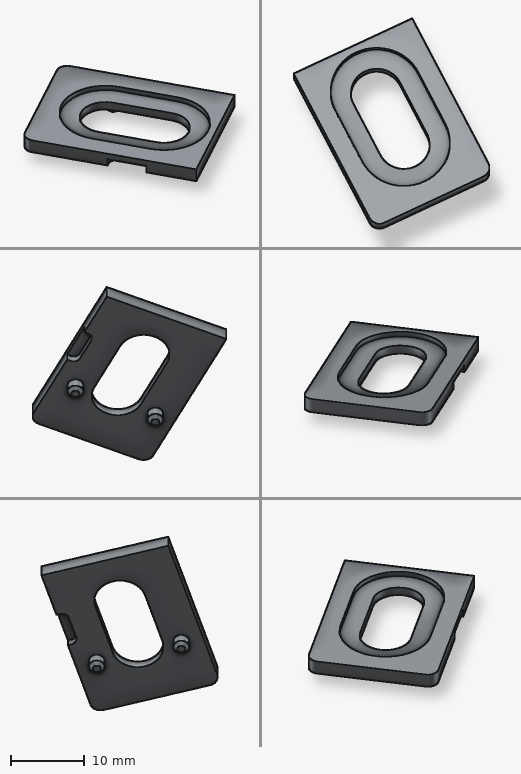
import cadquery as cq

plate_length = 24.8
plate_width = 18.0
plate_thickness = 2.0
corner_radius = 1.5

window_center_x = 13.35
window_length = 15.33
window_width = 7.05
ledge_width = 2.75
recess_depth = 0.75

pin_x = 8.48
pin_spacing = 12.0
pin_diameter = 2.1
pin_length = 1.79
pin_chamfer = 0.5

notch_center_x = 14.93
notch_width = 5.5
notch_depth = 1.5
notch_height = 1.05
notch_corner_radius = 1.0


def make_plate():
    plate = cq.Workplane("XY").box(
        plate_length, plate_width, plate_thickness, centered=(False, True, False)
    )
    return plate.edges("|Z and <X").fillet(corner_radius)


def make_window_cutter(margin, depth):
    """Obround cutter sunk from the top face, wider than the window by the margin all round."""
    return (
        cq.Workplane("XY", origin=(window_center_x, 0, plate_thickness))
        .slot2D(window_length + 2 * margin, window_width + 2 * margin)
        .extrude(-depth)
    )


def make_pins():
    return (
        cq.Workplane("XY")
        .pushPoints([(pin_x, side * pin_spacing / 2) for side in (-1, 1)])
        .circle(pin_diameter / 2)
        .extrude(-pin_length)
        .faces("<Z")
        .chamfer(pin_chamfer)
    )


def make_notch_cutter():
    cutter = cq.Workplane("XY", origin=(notch_center_x, -plate_width / 2, 0)).box(
        notch_width, notch_depth, notch_height, centered=(True, False, False)
    )
    return cutter.edges("|Z and >Y").fillet(notch_corner_radius)


result = (
    make_plate()
    .cut(make_window_cutter(0, plate_thickness))
    .cut(make_window_cutter(ledge_width, recess_depth))
    .cut(make_notch_cutter())
    .union(make_pins())
)